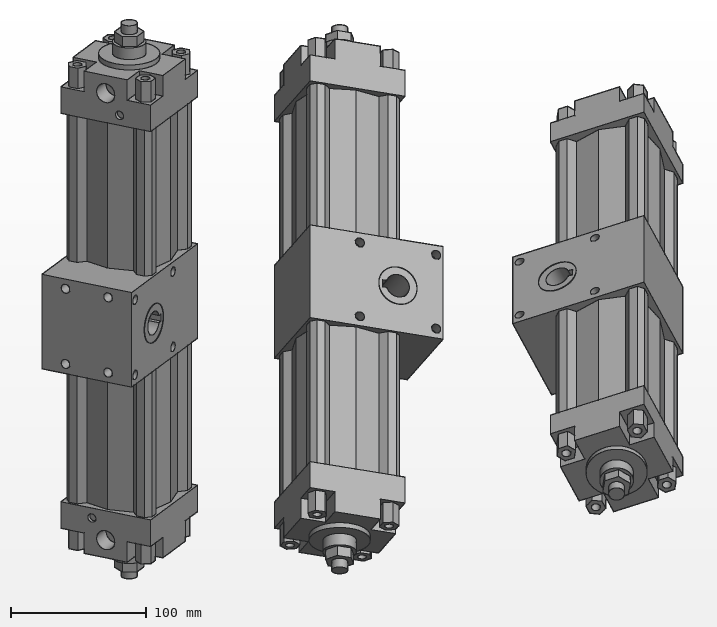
import cadquery as cq
import math

total_length = 443.0
body_width = 75.0
block_depth = 105.0
half_length = total_length / 2
half_width = body_width / 2

block_height = 75.8
block_front_y = half_width - block_depth
bore_y = -32.0
bore_diameter = 18.0
shaft_diameter = 30.0
shaft_recess = 0.5
keyway_width = 5.8
keyway_reach = 12.0
mount_hole_diameter = 7.0
mount_hole_depth = 10.0
mount_half_spacing = 30.0
front_hole_half_spacing = 17.5

barrel_half_width = 35.5
corner_chamfer = 4.0
groove_outer = 25.0
groove_depth = 5.5
groove_inner = groove_outer - groove_depth
ridge_height = 4.5

head_inner_z = 155.5
head_step_z = 176.8
head_outer_z = 193.0
cross_width = 36.0
cross_half_width = cross_width / 2

port_diameter = 15.0
port_depth = 15.0
port_z = 179.0
screw_hole_diameter = 6.5
screw_hole_depth = 3.0
screw_hole_x = 11.5
screw_hole_z = 163.5

nut_across_flats = 13.0
nut_offset = 28.5
nut_hole_diameter = 6.5
nut_hole_depth = 10.0
drill_point_angle = 118.0

flange_diameter = 45.0
flange_top_z = 197.0
hub_diameter = 25.0
hub_top_z = 206.5
lock_nut_across_flats = 19.0
lock_nut_top_z = 214.5
stud_diameter = 12.0


def box_between(x_range, y_range, z_range):
    """Box spanning the given (low, high) ranges."""
    size = [high - low for low, high in (x_range, y_range, z_range)]
    corner = (x_range[0], y_range[0], z_range[0])
    return cq.Workplane("XY").box(*size, centered=False).translate(corner)


def cylinder(diameter, length, start, direction):
    solid = cq.Solid.makeCylinder(diameter / 2, length, cq.Vector(*start), cq.Vector(*direction))
    return cq.Workplane(obj=solid)


def upright_cylinder(diameter, bottom_z, top_z):
    return cylinder(diameter, top_z - bottom_z, (0, 0, bottom_z), (0, 0, 1))


def upright_hexagon(across_flats, bottom_z, top_z):
    """Hexagonal prism with two corners on the X axis."""
    across_corners = across_flats / math.cos(math.pi / 6)
    return cq.Workplane("XY").workplane(offset=bottom_z).polygon(6, across_corners).extrude(top_z - bottom_z)


def quarter_turn(body, turns):
    return body.rotate((0, 0, 0), (0, 0, 1), 90 * turns)


def make_barrel():
    """Four equal sides, each with a shallow ridge between two grooves beside the corners."""
    flat_end = barrel_half_width - corner_chamfer
    groove_floor = barrel_half_width - groove_depth
    side = [
        (-flat_end, -barrel_half_width),
        (-groove_outer, -barrel_half_width),
        (-groove_inner, -groove_floor),
        (0, -groove_floor - ridge_height),
        (groove_inner, -groove_floor),
        (groove_outer, -barrel_half_width),
        (flat_end, -barrel_half_width),
    ]
    outline = []
    for _ in range(4):
        outline += side
        side = [(-y, x) for x, y in side]
    barrel = cq.Workplane("XY").polyline(outline).close()
    return barrel.extrude(head_inner_z, both=True)


def make_block():
    return box_between(
        (-half_width, half_width),
        (block_front_y, half_width),
        (-block_height / 2, block_height / 2),
    )


def cut_block_holes(body):
    bore = cylinder(bore_diameter, body_width, (-half_width, bore_y, 0), (1, 0, 0))
    keyway = box_between(
        (-half_width, half_width),
        (bore_y, bore_y + keyway_reach),
        (-keyway_width / 2, keyway_width / 2),
    )
    body = body.cut(bore).cut(keyway)
    for side in (-1, 1):
        inward = (-side, 0, 0)
        face_x = side * half_width
        body = body.cut(cylinder(shaft_diameter, shaft_recess, (face_x, bore_y, 0), inward))
        for y_sign in (-1, 1):
            for z_sign in (-1, 1):
                start = (face_x, bore_y + y_sign * mount_half_spacing, z_sign * mount_half_spacing)
                body = body.cut(cylinder(mount_hole_diameter, mount_hole_depth, start, inward))
    for x_sign in (-1, 1):
        for z_sign in (-1, 1):
            start = (x_sign * front_hole_half_spacing, block_front_y, z_sign * mount_half_spacing)
            body = body.cut(cylinder(mount_hole_diameter, mount_hole_depth, start, (0, 1, 0)))
    return body


def make_tie_nut():
    """Hexagonal nut with a drilled hole, placed in the front left corner."""
    nut = upright_hexagon(nut_across_flats, head_step_z, head_outer_z)
    hole_floor_z = head_outer_z - nut_hole_depth
    hole_radius = nut_hole_diameter / 2
    point_depth = hole_radius / math.tan(math.radians(drill_point_angle / 2))
    drill_point = cq.Solid.makeCone(0, hole_radius, point_depth, cq.Vector(0, 0, hole_floor_z - point_depth))
    nut = nut.cut(upright_cylinder(nut_hole_diameter, hole_floor_z, head_outer_z))
    nut = nut.cut(cq.Workplane(obj=drill_point))
    return nut.translate((-nut_offset, -nut_offset, 0))


def make_head():
    full = (-half_width, half_width)
    arm = (-cross_half_width, cross_half_width)
    raised = (head_step_z, head_outer_z)
    head = box_between(full, full, (head_inner_z, head_step_z))
    head = head.union(box_between(full, arm, raised)).union(box_between(arm, full, raised))
    tie_nut = make_tie_nut()
    for turns in range(4):
        head = head.union(quarter_turn(tie_nut, turns))
    port = cylinder(port_diameter, port_depth, (0, -half_width, port_z), (0, 1, 0))
    return head.cut(port)


def make_adjuster():
    flange = upright_cylinder(flange_diameter, head_outer_z, flange_top_z)
    hub = upright_cylinder(hub_diameter, flange_top_z, hub_top_z)
    lock_nut = quarter_turn(upright_hexagon(lock_nut_across_flats, hub_top_z, lock_nut_top_z), 1)
    stud = upright_cylinder(stud_diameter, lock_nut_top_z, half_length)
    return flange.union(hub).union(lock_nut).union(stud)


upper_end = make_head().union(make_adjuster())
lower_end = upper_end.mirror("XY")
result = make_barrel().union(make_block()).union(upper_end).union(lower_end)
result = cut_block_holes(result)

for end in (-1, 1):
    screw_start = (end * screw_hole_x, -half_width, end * screw_hole_z)
    result = result.cut(cylinder(screw_hole_diameter, screw_hole_depth, screw_start, (0, 1, 0)))